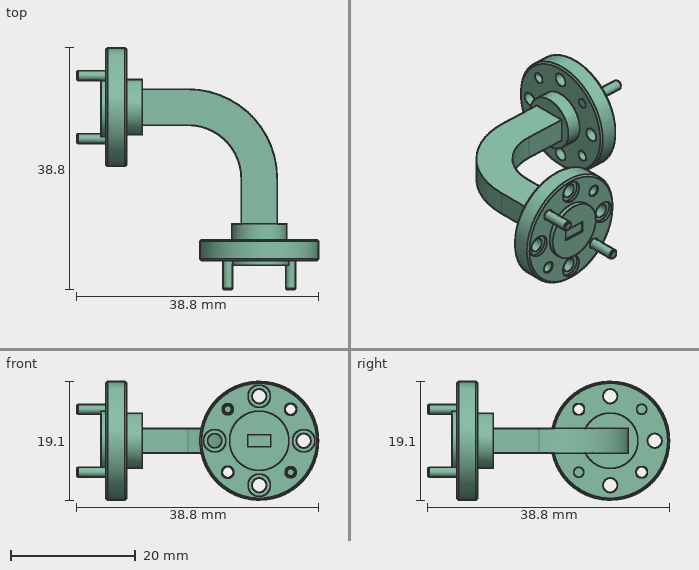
import cadquery as cq
import math

arm_length = 25.4
overall_reach = 38.8

bore_width = 3.72
bore_height = 1.88
bore_recess_depth = 0.25
wall = 1.04
tube_width = bore_width + 2 * wall
tube_height = bore_height + 2 * wall
bend_radius = 11.43

flange_diameter = 19.05
flange_thickness = 3.4
flange_chamfer = 0.3
pilot_diameter = 9.53
pilot_height = 0.76
hub_diameter = 8.9
hub_length = 2.5

bolt_circle_radius = 14.28 / 2
screw_hole_diameter = 2.26
counterbore_diameter = 3.6
counterbore_depth = 0.5
dowel_diameter = 1.6
clearance_hole_diameter = 1.75
pin_hole_chamfer = 0.1

dowel_tip_chamfer = 0.2

flange_front = -pilot_height
flange_back = flange_front - flange_thickness
hub_back = flange_back - hub_length
dowel_tip = overall_reach - flange_diameter / 2 - arm_length
dowel_length = dowel_tip - flange_back

diagonal = bolt_circle_radius * math.sqrt(0.5)
dowel_points = [(diagonal, -diagonal), (-diagonal, diagonal)]
clearance_points = [(diagonal, diagonal), (-diagonal, -diagonal)]

mating_planes = [
    cq.Plane(origin=(-arm_length, 0, 0), xDir=(0, 1, 0), normal=(-1, 0, 0)),
    cq.Plane(origin=(0, -arm_length, 0), xDir=(1, 0, 0), normal=(0, -1, 0)),
]


def disc(plane, diameter, start, length):
    """Disc about an arm's centreline, from start outward."""
    return cq.Workplane(plane).workplane(offset=start).circle(diameter / 2).extrude(length)


def drill(plane, points, diameter, start, length):
    """Cylinders, used as cutters, at the given points of a flange."""
    return cq.Workplane(plane).workplane(offset=start).pushPoints(points).circle(diameter / 2).extrude(length)


def make_tube():
    """Solid rectangular tube: two straight arms joined by a 90 degree bend."""
    straight_end = -arm_length - hub_back
    arc_offset = bend_radius * (1 - math.sqrt(0.5))
    path = (
        cq.Workplane("XY")
        .moveTo(straight_end, 0)
        .lineTo(-bend_radius, 0)
        .threePointArc((-arc_offset, -arc_offset), (0, -bend_radius))
        .lineTo(0, straight_end)
    )
    section = cq.Workplane("YZ", origin=(straight_end, 0, 0)).rect(tube_width, tube_height)
    return section.sweep(path)


def cut_pin_holes(flange, plane, points, diameter):
    """Through holes with a small chamfer at the front of the flange."""
    countersinks = (
        cq.Workplane(plane)
        .workplane(offset=flange_front)
        .pushPoints(points)
        .circle(diameter / 2 + pin_hole_chamfer)
        .extrude(-pin_hole_chamfer, taper=45)
    )
    holes = drill(plane, points, diameter, flange_back, flange_thickness)
    return flange.cut(holes).cut(countersinks)


def make_flange(plane):
    """Round flange with its pilot disc, hub and holes."""
    flange = disc(plane, flange_diameter, flange_back, flange_thickness).edges().chamfer(flange_chamfer)
    flange = flange.union(disc(plane, pilot_diameter, flange_front, pilot_height))
    flange = flange.union(disc(plane, hub_diameter, hub_back, hub_length))

    screw_points = [(bolt_circle_radius, 0), (0, bolt_circle_radius),
                    (-bolt_circle_radius, 0), (0, -bolt_circle_radius)]
    flange = flange.cut(drill(plane, screw_points, screw_hole_diameter, flange_back, flange_thickness))
    flange = flange.cut(
        drill(plane, screw_points, counterbore_diameter, flange_front - counterbore_depth, counterbore_depth)
    )

    flange = cut_pin_holes(flange, plane, dowel_points, dowel_diameter)
    flange = cut_pin_holes(flange, plane, clearance_points, clearance_hole_diameter)

    recess = cq.Workplane(plane).rect(bore_width, bore_height).extrude(-bore_recess_depth)
    return flange.cut(recess)


def make_dowel(plane, point):
    """Dowel pin, flush with the back of the flange and chamfered at its free tip."""
    pin = cq.Workplane(plane).workplane(offset=flange_back).center(*point)
    pin = pin.circle(dowel_diameter / 2).extrude(dowel_length)
    tip_face = cq.selectors.DirectionMinMaxSelector(plane.zDir, True)
    return pin.faces(tip_face).chamfer(dowel_tip_chamfer)


waveguide = make_tube()
for mating_plane in mating_planes:
    waveguide = waveguide.union(make_flange(mating_plane))

dowels = [make_dowel(mating_plane, point) for mating_plane in mating_planes for point in dowel_points]

result = cq.Compound.makeCompound([waveguide.val(), *[dowel.val() for dowel in dowels]])